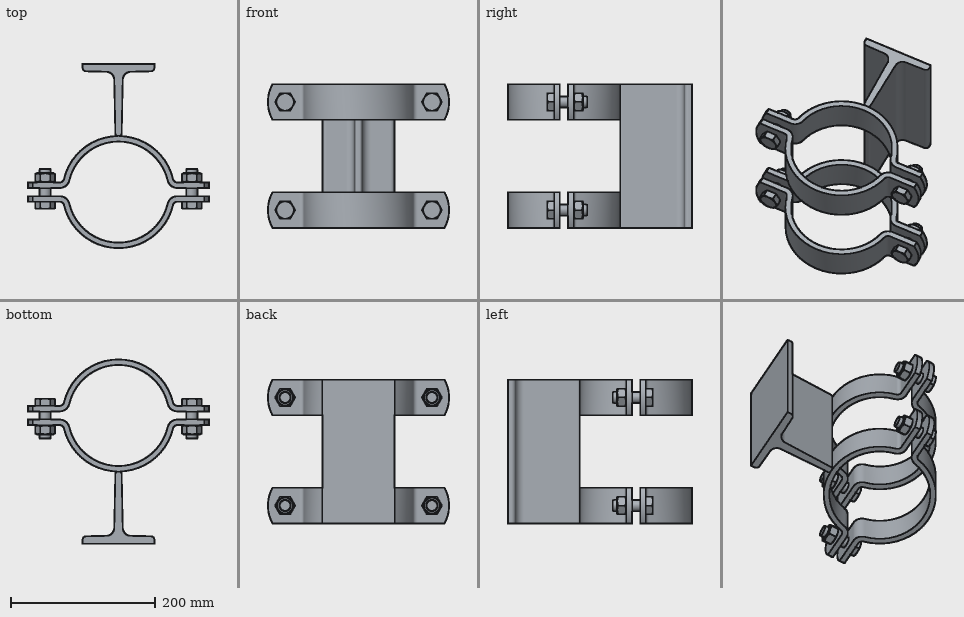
import cadquery as cq
import math

tee_size = 100.0
tee_length = 200.0
tee_thickness = 11.0
tee_taper = 0.02
root_radius = tee_thickness
flange_edge_radius = root_radius / 2
web_end_radius = 3.0

overall_depth = 256
ring_outer_radius = (overall_depth - tee_size) / 2
strap_thickness = 8.0
strap_height = 50.0
lug_gap = 11.0
lug_reach = 126.0
lug_end_radius = strap_height
bend_radius = 6.1

bolt_offset = 102.0
bolt_diameter = 16.0
bolt_tip_diameter = 14.8
bolt_tip_length = 2.0
bolt_protrusion = 5.6
hex_sides = 6
hex_across_flats = 24.0
nut_face_diameter = 22.0
head_height = 10.0
nut_height = 13.0
hex_chamfer_angle = 30

ring_inner_radius = ring_outer_radius - strap_thickness
lug_inner_y = lug_gap / 2
lug_outer_y = lug_inner_y + strap_thickness


def make_tee():
    """Tee with tapered flange and web; the web end is tangent to the clamp rings."""
    web_end_y = ring_outer_radius
    back_y = web_end_y + tee_size
    half_width = tee_size / 2
    web_end_half = tee_thickness / 2 - tee_taper * tee_size / 2
    edge_y = back_y - tee_thickness + tee_taper * tee_size / 4

    root_x = web_end_half + tee_taper * (edge_y - tee_taper * half_width - web_end_y)
    root_x /= 1 - tee_taper**2
    root_y = edge_y - tee_taper * (half_width - root_x)

    right_side = [
        (web_end_half, web_end_y),
        (root_x, root_y),
        (half_width, edge_y),
        (half_width, back_y),
    ]
    left_side = [(-x, y) for x, y in reversed(right_side)]
    tee = cq.Workplane("XY").polyline(right_side + left_side).close().extrude(tee_length)

    roundings = [
        (root_x, root_y, root_radius),
        (half_width, edge_y, flange_edge_radius),
        (web_end_half, web_end_y, web_end_radius),
    ]
    for x, y, radius in roundings:
        left_edge = cq.selectors.NearestToPointSelector((-x, y, tee_length / 2))
        right_edge = cq.selectors.NearestToPointSelector((x, y, tee_length / 2))
        tee = tee.edges(left_edge + right_edge).fillet(radius)
    return tee


def make_half_ring():
    """Half ring on the +Y side, bent out into a round-ended lug at each end."""
    bend_y = lug_outer_y + bend_radius
    bend_distance = ring_outer_radius + bend_radius
    bend_x = math.sqrt(bend_distance**2 - bend_y**2)
    bend_angle = math.atan2(bend_y, bend_x)

    def on_ring(radius, angle):
        return (radius * math.cos(angle), radius * math.sin(angle))

    def on_bend(radius):
        """Middle of a bend arc, between the ring and the point nearest the -Y side."""
        middle_angle = math.pi + (bend_angle + math.pi / 2) / 2
        return (bend_x + radius * math.cos(middle_angle), bend_y + radius * math.sin(middle_angle))

    crown_angle = math.pi / 2
    middle_angle = (crown_angle + bend_angle) / 2
    strap = (
        cq.Workplane("XY")
        .moveTo(*on_ring(ring_inner_radius, crown_angle))
        .threePointArc(on_ring(ring_inner_radius, middle_angle), on_ring(ring_inner_radius, bend_angle))
        .threePointArc(on_bend(bend_radius + strap_thickness), (bend_x, lug_inner_y))
        .lineTo(lug_reach, lug_inner_y)
        .lineTo(lug_reach, lug_outer_y)
        .lineTo(bend_x, lug_outer_y)
        .threePointArc(on_bend(bend_radius), on_ring(ring_outer_radius, bend_angle))
        .threePointArc(on_ring(ring_outer_radius, middle_angle), on_ring(ring_outer_radius, crown_angle))
        .mirrorY()
        .extrude(strap_height / 2, both=True)
    )

    half_height = strap_height / 2
    end_sagitta = lug_end_radius - math.sqrt(lug_end_radius**2 - half_height**2)
    corner_x = lug_reach - end_sagitta
    rounded_ends = (
        cq.Workplane("XZ")
        .moveTo(-corner_x, -half_height)
        .lineTo(corner_x, -half_height)
        .threePointArc((lug_reach, 0), (corner_x, half_height))
        .lineTo(-corner_x, half_height)
        .threePointArc((-lug_reach, 0), (-corner_x, -half_height))
        .close()
        .extrude(-overall_depth)
    )
    return strap.intersect(rounded_ends).clean()


def make_hexagon(start_y, height, face_diameter, chamfer_start):
    """Hexagon along +Y with two flats level, its corners chamfered at the end or at both ends."""
    across_corners = hex_across_flats / math.cos(math.radians(180 / hex_sides))
    face_radius = face_diameter / 2
    corner_radius = across_corners / 2
    chamfer_depth = (corner_radius - face_radius) * math.tan(math.radians(hex_chamfer_angle))
    end_y = start_y + height

    envelope = cq.Workplane("XY").moveTo(0, start_y)
    if chamfer_start:
        envelope = envelope.lineTo(face_radius, start_y).lineTo(corner_radius, start_y + chamfer_depth)
    else:
        envelope = envelope.lineTo(corner_radius, start_y)
    envelope = (
        envelope.lineTo(corner_radius, end_y - chamfer_depth)
        .lineTo(face_radius, end_y)
        .lineTo(0, end_y)
        .close()
        .revolve(360, (0, 0, 0), (0, 1, 0))
    )
    prism = cq.Workplane("XZ", origin=(0, start_y, 0)).polygon(hex_sides, across_corners).extrude(-height)
    return prism.intersect(envelope)


def make_bolt():
    """Bolt along Y with its head in front, its nut at the back and a tapered tip."""
    head = make_hexagon(lug_outer_y, head_height, hex_across_flats, False).mirror("XZ")
    nut = make_hexagon(lug_outer_y, nut_height, nut_face_diameter, True)
    tip_y = lug_outer_y + nut_height + bolt_protrusion
    shank = (
        cq.Workplane("XY")
        .moveTo(0, -lug_outer_y)
        .lineTo(bolt_diameter / 2, -lug_outer_y)
        .lineTo(bolt_diameter / 2, tip_y - bolt_tip_length)
        .lineTo(bolt_tip_diameter / 2, tip_y)
        .lineTo(0, tip_y)
        .close()
        .revolve(360, (0, 0, 0), (0, 1, 0))
    )
    return shank.union(head).union(nut)


def make_clamp(center_z):
    """Complete clamp as one solid: two half rings joined by a bolt through each lug pair."""
    back_half = make_half_ring()
    clamp = back_half.union(back_half.mirror("XZ"))
    bolt = make_bolt()
    for side in (-1, 1):
        clamp = clamp.union(bolt.translate((side * bolt_offset, 0, 0)))
    return clamp.translate((0, 0, center_z))


tee = make_tee()
clamps = [make_clamp(z) for z in (strap_height / 2, tee_length - strap_height / 2)]

result = cq.Compound.makeCompound([tee.solids().val(), *[clamp.solids().val() for clamp in clamps]])